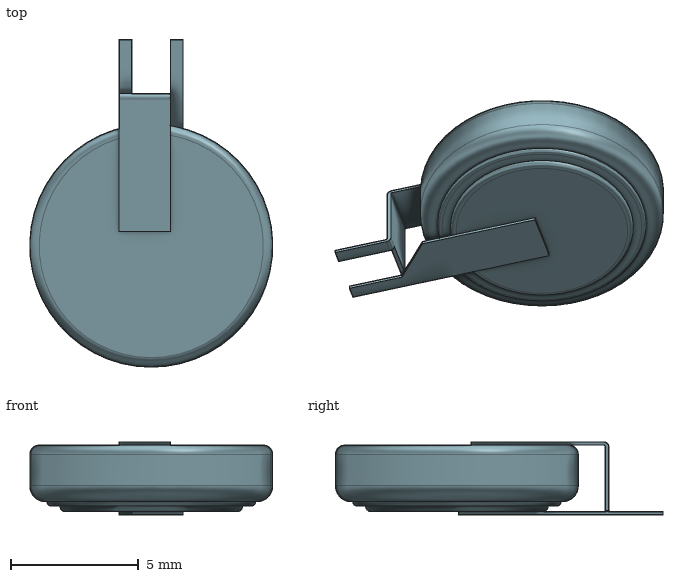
import cadquery as cq

strip_thickness = 0.125
strip_width = 2.0
leg_width = 0.5
leg_end_y = 8.05

cell_radius = 4.75
cell_height = 2.6
cell_bottom_z = strip_thickness
cell_top_z = cell_bottom_z + cell_height
rim_fillet = 0.37
can_bottom_z = 0.51
can_bottom_fillet = 0.63
gasket_radius = 4.07
gasket_bottom_z = 0.35
gasket_fillet = can_bottom_z - gasket_bottom_z
cap_radius = 3.57
cap_fillet = gasket_bottom_z - cell_bottom_z

top_left_x = -1.25
tongue_end_y = 0.55
web_outer_y = 5.94
web_thickness = 0.15
web_inner_y = web_outer_y - web_thickness
bend_inner_radius = 0.05
bend_outer_radius = bend_inner_radius + web_thickness

bottom_left_x = top_left_x + leg_width
bottom_right_x = bottom_left_x + strip_width
pad_start_y = 0.06
pad_end_y = 4.65
shoulder_end_y = 5.91


def make_cell():
    """Coin cell: rounded can with a gasket ring and a smaller cap stepping down below it."""
    profile = (
        cq.Workplane("YZ")
        .moveTo(0, cell_top_z)
        .lineTo(-cell_radius + rim_fillet, cell_top_z)
        .radiusArc((-cell_radius, cell_top_z - rim_fillet), -rim_fillet)
        .lineTo(-cell_radius, can_bottom_z + can_bottom_fillet)
        .radiusArc((-cell_radius + can_bottom_fillet, can_bottom_z), -can_bottom_fillet)
        .lineTo(-gasket_radius, can_bottom_z)
        .radiusArc((-gasket_radius + gasket_fillet, gasket_bottom_z), -gasket_fillet)
        .lineTo(-cap_radius, gasket_bottom_z)
        .radiusArc((-cap_radius + cap_fillet, cell_bottom_z), -cap_fillet)
        .lineTo(0, cell_bottom_z)
        .close()
    )
    return profile.revolve(360, (0, 0, 0), (0, 1, 0))


def strip_along_x(outline, left_x, width):
    """Extrude a closed YZ outline along +X from left_x."""
    return outline.close().extrude(width).translate((left_x, 0, 0))


def make_top_terminal():
    """Z-bent strip: tongue on the cell, web behind the cell, leg running away from it."""
    top_z = cell_top_z + strip_thickness
    leg_bend_z = strip_thickness + bend_inner_radius

    bracket_outline = (
        cq.Workplane("YZ")
        .moveTo(tongue_end_y, cell_top_z)
        .lineTo(tongue_end_y, top_z)
        .lineTo(web_outer_y - bend_outer_radius, top_z)
        .radiusArc((web_outer_y, top_z - bend_outer_radius), bend_outer_radius)
        .lineTo(web_outer_y, leg_bend_z)
        .lineTo(web_inner_y, leg_bend_z)
        .lineTo(web_inner_y, cell_top_z - bend_inner_radius)
        .radiusArc((web_inner_y - bend_inner_radius, cell_top_z), -bend_inner_radius)
    )
    bracket = strip_along_x(bracket_outline, top_left_x, strip_width)

    leg_bend_radius = leg_bend_z
    leg_outline = (
        cq.Workplane("YZ")
        .moveTo(web_inner_y, leg_bend_z)
        .lineTo(web_outer_y, leg_bend_z)
        .radiusArc((web_outer_y + bend_inner_radius, strip_thickness), -bend_inner_radius)
        .lineTo(leg_end_y, strip_thickness)
        .lineTo(leg_end_y, 0)
        .lineTo(web_inner_y + leg_bend_radius, 0)
        .radiusArc((web_inner_y, leg_bend_z), leg_bend_radius)
    )
    leg = strip_along_x(leg_outline, top_left_x, leg_width)
    return bracket.union(leg)


def make_bottom_terminal():
    """Flat strip under the cap with a slanted shoulder narrowing it to a leg along its +X edge."""
    leg_left_x = bottom_right_x - leg_width
    return (
        cq.Workplane("XY")
        .moveTo(bottom_left_x, pad_start_y)
        .lineTo(bottom_right_x, pad_start_y)
        .lineTo(bottom_right_x, leg_end_y)
        .lineTo(leg_left_x, leg_end_y)
        .lineTo(leg_left_x, shoulder_end_y)
        .lineTo(bottom_left_x, pad_end_y)
        .close()
        .extrude(strip_thickness)
    )


cell = make_cell()
top_terminal = make_top_terminal()
bottom_terminal = make_bottom_terminal()
result = cq.Compound.makeCompound([cell.val(), top_terminal.val(), bottom_terminal.val()])